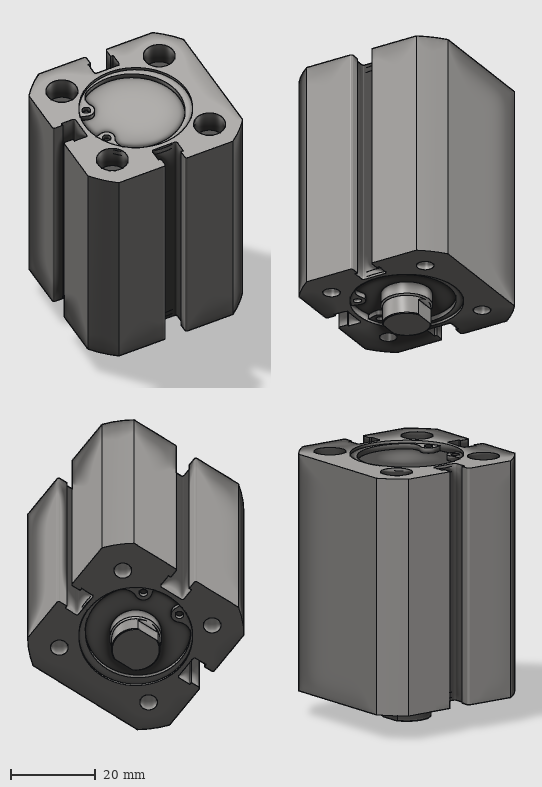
import cadquery as cq
import math


overall_length = 63.5
nose_projection = 6.15
body_length = overall_length - nose_projection
body_width = 41.0
corner_radius = 25.45

slot_mouth = 5.3
slot_width = 6.6
slot_depth = 6.05
lip_depth = 2.55
slot_rounding = 0.5
slot_angles = (-90, 0, 90)

mounting_offset = 12.9
mounting_diameter = 4.1
counterbore_diameter = 7.5
counterbore_depth = 5.7

recess_radius = 13.4
ring_recess = 0.7
ring_thickness = 1.3
cover_thickness = 5.1
recess_depth = ring_recess + ring_thickness + cover_thickness
head_recess_floor = body_length - recess_depth
head_ring_bottom = body_length - ring_recess - ring_thickness

ring_outer_diameter = 28.8
ring_outer_radius = ring_outer_diameter / 2
ring_inner_radius = 12.45
ring_inner_y = ring_inner_radius - recess_radius
lug_x = 5.2
lug_y = -10.4
lug_radius = 2.0
lug_hole_diameter = 2.0
lug_fillet = 3.5

rod_radius = 6.1
nose_radius = 5.7
nose_flats = 9.9
shoulder_projection = 1.1
nose_chamfer = 0.2
flat_start = 2.15


def disc(radius, bottom, height):
    return cq.Workplane("XY", origin=(0, 0, bottom)).circle(radius).extrude(height)


def slot_cutter(angle):
    """T-slot open towards -Y, turned about the cylinder axis from -Y by angle."""
    face = -body_width / 2
    lip = face + lip_depth
    floor = face + slot_depth
    mouth = slot_mouth / 2
    wide = slot_width / 2
    r = slot_rounding
    profile = (
        cq.Workplane("XY")
        .moveTo(-mouth - r, face)
        .radiusArc((-mouth, face + r), -r)
        .lineTo(-mouth, lip)
        .lineTo(-wide, lip)
        .lineTo(-wide, floor - r)
        .radiusArc((-wide + r, floor), r)
        .lineTo(wide - r, floor)
        .radiusArc((wide, floor - r), r)
        .lineTo(wide, lip)
        .lineTo(mouth, lip)
        .lineTo(mouth, face + r)
        .radiusArc((mouth + r, face), -r)
        .close()
    )
    return profile.extrude(body_length).rotate((0, 0, 0), (0, 0, 1), angle)


def make_housing():
    housing = (
        cq.Workplane("XY")
        .rect(body_width, body_width)
        .extrude(body_length)
        .intersect(disc(corner_radius, 0, body_length))
    )
    for angle in slot_angles:
        housing = housing.cut(slot_cutter(angle))
    housing = (
        housing.faces(">Z").workplane(origin=(0, 0, body_length))
        .rect(2 * mounting_offset, 2 * mounting_offset, forConstruction=True)
        .vertices()
        .cboreHole(mounting_diameter, counterbore_diameter, counterbore_depth)
    )
    for recess_bottom in (0, head_recess_floor):
        housing = housing.cut(disc(recess_radius, recess_bottom, recess_depth))
    return housing.cut(disc(rod_radius, 0, body_length - recess_depth))


def make_head_cover():
    return disc(recess_radius, head_recess_floor, cover_thickness)


def make_rod_cover():
    bottom = ring_recess + ring_thickness
    rod_hole = disc(rod_radius, bottom, cover_thickness)
    return disc(recess_radius, bottom, cover_thickness).cut(rod_hole)


def ring_opening():
    """Inside of the retaining ring: an eccentric circle, the two lugs and the gap between them."""
    to_circle = ring_inner_radius - lug_fillet
    to_lug = lug_radius + lug_fillet
    lug_dy = lug_y - ring_inner_y
    centre_distance = math.hypot(lug_x, lug_dy)
    along = (to_circle**2 - to_lug**2 + centre_distance**2) / (2 * centre_distance)
    across = math.sqrt(to_circle**2 - along**2)
    fillet_x = (along * lug_x - across * lug_dy) / centre_distance
    fillet_y = ring_inner_y + (along * lug_dy + across * lug_x) / centre_distance

    circle_end = (
        fillet_x * ring_inner_radius / to_circle,
        ring_inner_y + (fillet_y - ring_inner_y) * ring_inner_radius / to_circle,
    )
    lug_start = (
        lug_x + (fillet_x - lug_x) * lug_radius / to_lug,
        lug_y + (fillet_y - lug_y) * lug_radius / to_lug,
    )

    lug_distance = math.hypot(lug_x, lug_y)
    gap_angle = math.atan2(lug_x, -lug_y) - math.asin(lug_radius / lug_distance)
    tangent_length = math.sqrt(lug_distance**2 - lug_radius**2)
    lug_end = (tangent_length * math.sin(gap_angle), -tangent_length * math.cos(gap_angle))
    gap_end = (ring_outer_radius * math.tan(gap_angle), -ring_outer_radius)

    def mirrored(point):
        return (-point[0], point[1])

    return (
        cq.Workplane("XY")
        .moveTo(*mirrored(circle_end))
        .threePointArc((0, ring_inner_y + ring_inner_radius), circle_end)
        .radiusArc(lug_start, lug_fillet)
        .radiusArc(lug_end, -lug_radius)
        .lineTo(*gap_end)
        .lineTo(*mirrored(gap_end))
        .lineTo(*mirrored(lug_end))
        .radiusArc(mirrored(lug_start), -lug_radius)
        .radiusArc(mirrored(circle_end), lug_fillet)
        .close()
        .extrude(ring_thickness)
    )


def make_retaining_ring(bottom):
    lug_holes = (
        cq.Workplane("XY")
        .pushPoints([(-lug_x, lug_y), (lug_x, lug_y)])
        .circle(lug_hole_diameter / 2)
        .extrude(ring_thickness)
    )
    ring = disc(ring_outer_radius, 0, ring_thickness).cut(ring_opening()).cut(lug_holes)
    return ring.translate((0, 0, bottom))


def make_rod():
    """Rod with a bevelled shoulder down to a nose that carries two wrench flats."""
    shoulder_bevel = rod_radius - nose_radius
    rod = (
        cq.Workplane("XZ")
        .moveTo(0, head_recess_floor)
        .lineTo(rod_radius, head_recess_floor)
        .lineTo(rod_radius, -shoulder_projection)
        .lineTo(nose_radius, -shoulder_projection - shoulder_bevel)
        .lineTo(nose_radius, -nose_projection + nose_chamfer)
        .lineTo(nose_radius - nose_chamfer, -nose_projection)
        .lineTo(0, -nose_projection)
        .close()
        .revolve(360, (0, 0, 0), (0, 1, 0))
    )
    flat_y = nose_flats / 2
    runout = rod_radius - flat_y
    for side in (-1, 1):
        flat_cutter = (
            cq.Workplane("YZ")
            .moveTo(side * flat_y, -nose_projection)
            .lineTo(side * flat_y, -flat_start)
            .lineTo(side * rod_radius, -flat_start + runout)
            .lineTo(side * rod_radius, -nose_projection)
            .close()
            .extrude(rod_radius, both=True)
        )
        rod = rod.cut(flat_cutter)
    return rod


housing = make_housing()
head_cover = make_head_cover()
rod_cover = make_rod_cover()
rod = make_rod()

retaining_rings = []
for ring_bottom in (ring_recess, head_ring_bottom):
    ring = make_retaining_ring(ring_bottom)
    housing = housing.cut(ring)
    retaining_rings.append(ring.val())

result = cq.Compound.makeCompound(
    [housing.val(), head_cover.val(), rod_cover.val(), *retaining_rings, rod.val()]
)